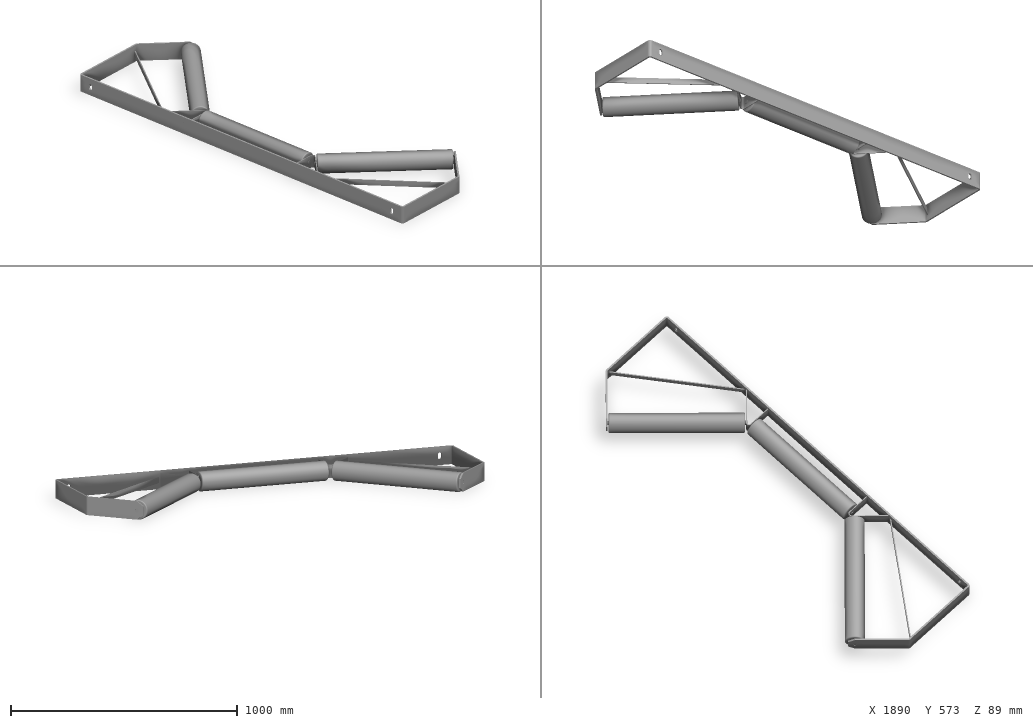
import cadquery as cq
import math


frame_length = 1890.0
strip_width = 83.0
strip_thickness = 8.0
bend_radius = 13.0
wall_height = 382.0
arm_tip_height = 573.0
tip_chamfer_along = 30.0
tip_chamfer_across = 20.0

slot_edge_distance = 65.0
slot_width = 18.0
slot_height = 30.0

bracket_width = 60.0
bracket_thickness = 4.0
support_gap = 610.0
bracket_bend_radius = 13.0

brace_thickness = 5.0
brace_width = 26.0
brace_wall_height = 369.0
brace_foot_offset = 452.0

roller_diameter = 89.0
roller_length = 601.0
roller_rim_fillet = 5.0
shaft_diameter = 19.0
shaft_length = 624.0
middle_axis_height = 102.0
side_axis_reach = 223.0

half_length = frame_length / 2
inner_wall_x = half_length - strip_thickness
arm_direction = cq.Vector(-1, 1, 0).normalized()
x_axis = cq.Vector(1, 0, 0)
side_axis = cq.Vector(1, 1, 0).normalized()
wall_corner = cq.Vector(half_length, wall_height, 0)
arm_length = (arm_tip_height - wall_height) * math.sqrt(2)
arm_tip = wall_corner + arm_direction * arm_length

middle_point = cq.Vector(0, middle_axis_height, 0)

arm_on_axis = cq.Vector(
    (half_length + wall_height + side_axis_reach) / 2,
    (half_length + wall_height - side_axis_reach) / 2,
    0,
)
side_middle = arm_on_axis - side_axis * (strip_thickness + support_gap / 2)

bracket_face_x = support_gap / 2
leg_face = side_middle - side_axis * (support_gap / 2)
leg_face_sum = leg_face.x + leg_face.y
bracket_peak = (bracket_face_x, leg_face_sum - bracket_face_x)


def mirrored(shape):
    """The same shape on the left-hand side."""
    return shape.mirror("YZ")


def both_sides(shape):
    return shape.union(mirrored(shape))


def extruded(sketch, width):
    """Extrude an XY outline by a width centred on Z = 0."""
    return sketch.extrude(width / 2, both=True)


def above_mid_base(shape):
    """Trim a shape that starts at Y = 0 so that it starts half-way through the base."""
    lower_half = cq.Workplane("XY").box(frame_length, strip_thickness, strip_width)
    return shape.cut(lower_half)


def make_outer_strip():
    """Base, two uprights and two inclined arms, bent from one strip."""
    outer_half = [(half_length, 0), (half_length, wall_height), (arm_tip.x, arm_tip.y)]
    inner_tip = arm_tip - side_axis * strip_thickness
    inner_corner_y = wall_height - strip_thickness * math.tan(math.pi / 8)
    inner_half = [
        (inner_tip.x, inner_tip.y),
        (inner_wall_x, inner_corner_y),
        (inner_wall_x, strip_thickness),
    ]
    right_side = outer_half + inner_half
    left_side = [(-x, y) for x, y in reversed(right_side)]
    strip = extruded(cq.Workplane("XY").polyline(right_side + left_side).close(), strip_width)

    inner_radius = bend_radius - strip_thickness
    bends = (
        ((half_length, 0), bend_radius),
        ((half_length, wall_height), bend_radius),
        ((inner_wall_x, strip_thickness), inner_radius),
        ((inner_wall_x, inner_corner_y), inner_radius),
    )
    for (x, y), radius in bends:
        for side in (-1, 1):
            strip = strip.edges(cq.selectors.NearestToPointSelector((side * x, y, 0))).fillet(radius)
    return strip


def make_tip_cutter():
    """Two triangular prisms that cut the corners off the right arm's tip."""
    plane = cq.Plane(origin=arm_tip.toTuple(), xDir=arm_direction.toTuple(), normal=side_axis.toTuple())
    half_width = strip_width / 2
    cutter = cq.Workplane("XY")
    for side in (-1, 1):
        corner = [
            (0, side * half_width),
            (-tip_chamfer_along, side * half_width),
            (0, side * (half_width - tip_chamfer_across)),
        ]
        prism = cq.Workplane(plane).polyline(corner).close().extrude(strip_thickness, both=True)
        cutter = cutter.add(prism)
    return cutter.combine()


def make_bracket():
    """Bent strip with an upright for the middle roller and a leg at 45 degrees for the side roller."""
    inner_x = bracket_face_x + bracket_thickness
    inner_sum = leg_face_sum - bracket_thickness * math.sqrt(2)
    outline = [
        (bracket_face_x, 0),
        bracket_peak,
        (leg_face_sum, 0),
        (inner_sum, 0),
        (inner_x, inner_sum - inner_x),
        (inner_x, 0),
    ]
    bracket = extruded(cq.Workplane("XY").polyline(outline).close(), bracket_width)
    bends = (
        (bracket_peak, bracket_bend_radius),
        ((inner_x, inner_sum - inner_x), bracket_bend_radius - bracket_thickness),
    )
    for (x, y), radius in bends:
        bracket = bracket.edges(cq.selectors.NearestToPointSelector((x, y, 0))).fillet(radius)
    return above_mid_base(bracket)


def make_brace():
    """Narrow flat bar from the base up to the upright."""
    run = inner_wall_x - brace_foot_offset
    rise = brace_wall_height - strip_thickness
    drop = brace_thickness * math.hypot(run, rise) / run
    overrun = strip_thickness / 2
    slope = rise / run
    start_x = brace_foot_offset - overrun / slope
    end_x = inner_wall_x + overrun
    start_y = strip_thickness - overrun
    end_y = brace_wall_height + overrun * slope
    outline = [
        (start_x, start_y),
        (end_x, end_y),
        (end_x, end_y - drop),
        (start_x + drop / slope, start_y),
    ]
    return extruded(cq.Workplane("XY").polyline(outline).close(), brace_width)


def make_base_slots():
    slot_x = half_length - slot_edge_distance
    return (
        cq.Workplane("XZ")
        .pushPoints([(-slot_x, 0), (slot_x, 0)])
        .slot2D(slot_height, slot_width, 90)
        .extrude(strip_thickness, both=True)
    )


def make_cylinder(middle, axis, diameter, length):
    """Cylinder along an axis, centred on its middle."""
    start = middle - axis * (length / 2)
    solid = cq.Solid.makeCylinder(diameter / 2, length, start, axis)
    return cq.Workplane(solid)


def make_roller(middle, axis):
    """Drum with rounded rims, on a shaft that passes through both supports."""
    drum = make_cylinder(middle, axis, roller_diameter, roller_length)
    drum = drum.edges("%CIRCLE").fillet(roller_rim_fillet)
    return drum.union(make_cylinder(middle, axis, shaft_diameter, shaft_length))


def make_frame():
    """Outer strip with its brackets and braces, and a bore for every shaft."""
    frame = make_outer_strip()
    frame = frame.cut(both_sides(make_tip_cutter()))
    frame = frame.union(both_sides(make_bracket()))
    frame = frame.union(both_sides(make_brace()))
    frame = frame.cut(make_base_slots())

    bore_length = support_gap + 2 * strip_thickness
    for middle, axis in ((middle_point, x_axis), (side_middle, side_axis)):
        bore = make_cylinder(middle, axis, shaft_diameter, bore_length)
        frame = frame.cut(both_sides(bore))
    return frame


frame = make_frame()
middle_roller = make_roller(middle_point, x_axis)
right_roller = make_roller(side_middle, side_axis)
left_roller = mirrored(right_roller)
rollers = [middle_roller, right_roller, left_roller]

result = cq.Compound.makeCompound([frame.val(), *[roller.val() for roller in rollers]])